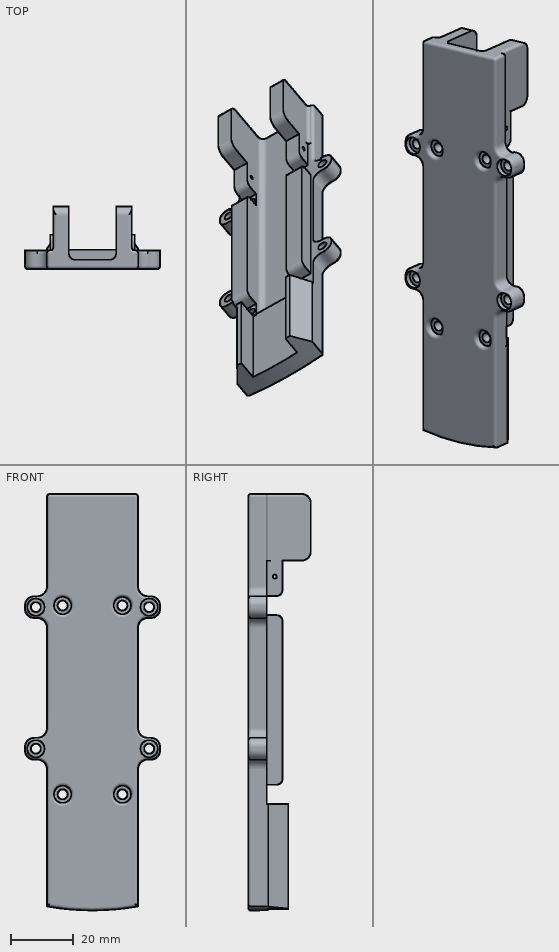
import cadquery as cq
import math

length = 132.45
half_width = 14.5
plate_thickness = 6.0
end_arc_radius = 80.0
end_arc_rise = end_arc_radius - math.sqrt(end_arc_radius**2 - half_width**2)
edge_radius = 1.0

lug_hole_x = 18.0
lug_half = 3.5
lug_radius = 3.0
lug_tip_x = lug_hole_x + lug_half
lug_distances_from_top = (36.0, 81.0)
web_x = half_width + lug_radius
web_half_height = lug_half + lug_radius

screw_hole_x = 9.5
screw_distances_from_top = (35.5, 95.5)
screw_diameter = 3.1
head_diameter = 5.5
head_depth = 2.0

channel_half_width = 7.5
channel_floor_y = 3.0
channel_corner_radius = 2.0

gap_half_length = 3.0
wall_corner_radius = 2.0
middle_wall_x = 13.5
low_wall_y = 11.0
upper_wall_x = middle_wall_x - edge_radius
high_wall_y = 20.0
high_wall_length = 21.25
high_wall_corner_radius = 3.0
upper_wall_end = screw_distances_from_top[0] - gap_half_length
middle_wall_start = screw_distances_from_top[0] + gap_half_length
middle_wall_end = screw_distances_from_top[1] - gap_half_length
tail_start = screw_distances_from_top[1] + gap_half_length

tail_shoulder_y = 6.5
tail_floor_y = 6.25
tail_tip_x = 10.2
tail_channel_half_width = 8.5
tail_tip_y = 12.8

cross_hole_diameter = 1.2
cross_hole_y = 8.5
cross_hole_from_top = 26.3


def box(x_min, x_max, y_min, y_max, z_min, z_max):
    size = (x_max - x_min, y_max - y_min, z_max - z_min)
    return cq.Workplane("XY").box(*size, centered=False).translate((x_min, y_min, z_min))


def body_block(depth):
    """Full-length block with the curved lower end."""
    return (
        cq.Workplane("XZ")
        .moveTo(-half_width, length)
        .lineTo(-half_width, end_arc_rise)
        .threePointArc((0, 0), (half_width, end_arc_rise))
        .lineTo(half_width, length)
        .close()
        .extrude(-depth)
    )


def lug_pair(z):
    """Two lugs joined across the plate, blended into its sides by concave arcs."""
    pad = box(-lug_tip_x, lug_tip_x, 0, plate_thickness, z - lug_half, z + lug_half)
    pad = pad.edges("|Y").fillet(lug_radius)
    web = box(-web_x, web_x, 0, plate_thickness, z - web_half_height, z + web_half_height)
    corners = [(sx * web_x, z + sz * web_half_height) for sx in (-1, 1) for sz in (-1, 1)]
    scoops = cq.Workplane("XZ").pushPoints(corners).circle(lug_radius).extrude(-plate_thickness)
    return pad.union(web.cut(scoops))


def spandrel(workplane, corner, dx, dy):
    """Outline of a square corner less its quarter round; dx and dy point to the round's centre."""
    x, y = corner
    bulge = edge_radius * (1 - math.sqrt(0.5))
    return (
        workplane.moveTo(x, y)
        .lineTo(x + dx * edge_radius, y)
        .threePointArc((x + dx * bulge, y + dy * bulge), (x, y + dy * edge_radius))
        .close()
    )


def back_edge_rounding():
    """Cutter rounding the right back edge from the top end to the flank of the upper lug."""
    web_top = length - lug_distances_from_top[0] + web_half_height
    section = cq.Workplane("XY", origin=(0, 0, web_top))
    straight = spandrel(section, (half_width, plate_thickness), -1, -1).extrude(length - web_top)
    curved = spandrel(section, (half_width, plate_thickness), -1, -1).revolve(
        90, (web_x, 1), (web_x, 0)
    )
    return straight.union(curved)


def wall_block(half_x, y_max, start, end):
    return box(-half_x, half_x, 0, y_max, length - end, length - start)


def corner_cutter(y, from_top, z_direction, radius):
    """Cutter rounding a wall corner on the back side, at depth y; z_direction points into the wall."""
    z = length - from_top
    inner_y = y - radius
    inner_z = z + z_direction * radius
    square = box(-half_width, half_width, inner_y, y, min(z, inner_z), max(z, inner_z))
    round_bar = (
        cq.Workplane("YZ", origin=(-half_width, 0, 0))
        .center(inner_y, inner_z)
        .circle(radius)
        .extrude(2 * half_width)
    )
    return square.cut(round_bar)


def tail_block():
    """Block with sloping flanks that becomes the tail rails."""
    return (
        cq.Workplane("XY")
        .polyline([
            (-half_width, 0),
            (half_width, 0),
            (half_width, tail_shoulder_y),
            (tail_tip_x, tail_tip_y),
            (-tail_tip_x, tail_tip_y),
            (-half_width, tail_shoulder_y),
        ])
        .close()
        .extrude(length - tail_start)
        .intersect(body_block(tail_tip_y))
    )


def counterbored_holes(x, distances):
    points = [(sx * x, length - d) for sx in (-1, 1) for d in distances]
    plane = cq.Workplane("XZ").pushPoints(points)
    shafts = plane.circle(screw_diameter / 2).extrude(-plate_thickness)
    heads = plane.circle(head_diameter / 2).extrude(-head_depth)
    return shafts.union(heads)


def mouth_rounding():
    """Cutters that round the mouths of the screw holes in the plate."""
    profile = spandrel(cq.Workplane("XY"), (head_diameter / 2, 0), 1, 1)
    flare = profile.revolve(360, (0, 0), (0, 1))
    cutters = cq.Workplane("XY")
    for side in (-1, 1):
        for distance in screw_distances_from_top:
            cutters = cutters.add(flare.translate((side * screw_hole_x, 0, length - distance)))
    return cutters.combine()


def both_sides(solid):
    """A solid joined with its mirror image about x = 0."""
    return solid.union(solid.mirror("YZ"))


part = body_block(plate_thickness)
for distance in lug_distances_from_top:
    part = part.union(lug_pair(length - distance))
part = part.cut(both_sides(back_edge_rounding()))

part = part.union(wall_block(upper_wall_x, high_wall_y, 0, high_wall_length))
part = part.union(wall_block(upper_wall_x, low_wall_y, high_wall_length, upper_wall_end))
part = part.union(wall_block(middle_wall_x, low_wall_y, middle_wall_start, middle_wall_end))
cove_plane = cq.Workplane("XY", origin=(0, 0, length - high_wall_length))
cove = spandrel(cove_plane, (upper_wall_x, plate_thickness), 1, 1).extrude(high_wall_length)
part = part.union(both_sides(cove)).clean()
part = part.union(tail_block())

front_edges = part.faces("<Y").edges()
top_edges = part.faces(">Z").edges("not(>Y)")
part = part.newObject(front_edges.vals() + top_edges.vals()).fillet(edge_radius)

part = part.cut(corner_cutter(high_wall_y, 0, -1, high_wall_corner_radius))
part = part.cut(corner_cutter(high_wall_y, high_wall_length, 1, high_wall_corner_radius))
part = part.cut(corner_cutter(low_wall_y, upper_wall_end, 1, wall_corner_radius))
part = part.cut(corner_cutter(low_wall_y, middle_wall_start, -1, wall_corner_radius))
part = part.cut(corner_cutter(low_wall_y, middle_wall_end, 1, wall_corner_radius))

deep_channel = box(
    -channel_half_width, channel_half_width, channel_floor_y, high_wall_y, length - tail_start, length
)
part = part.cut(deep_channel.edges("|Z and <Y").fillet(channel_corner_radius))
part = part.cut(
    box(-tail_channel_half_width, tail_channel_half_width, tail_floor_y, tail_tip_y, 0, length - tail_start)
)

part = part.cut(counterbored_holes(screw_hole_x, screw_distances_from_top))
part = part.cut(mouth_rounding())
part = part.cut(counterbored_holes(lug_hole_x, lug_distances_from_top))
cross_hole = (
    cq.Workplane("YZ", origin=(-half_width, 0, 0))
    .center(cross_hole_y, length - cross_hole_from_top)
    .circle(cross_hole_diameter / 2)
    .extrude(2 * half_width)
)
result = part.cut(cross_hole)